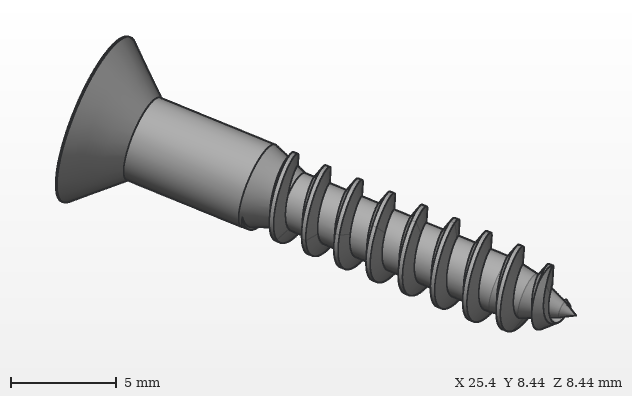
import cadquery as cq
import math

length = 25.4
head_radius = 4.22
rim_thickness = 0.08
head_height = 2.55
shank_radius = 2.1
shank_end = 8.6
socket_width = 2.85
socket_depth = socket_width

core_radius = 1.4
core_start = 10.5
taper_start = 21.46
tip_start = 22.85
tip_radius = 1.15
point_start = 24.65
point_radius = 0.4

pitch = 1.7
crest_at_top = 9.95
crest_width = 0.23
root_width = 0.9
ridge_depth = 0.81
thread_start = 8.25
thread_end = 24.76
points_per_turn = 24

envelope_slope = 0.9
envelope_start = 7.62

crest_stations = [
    (thread_start, 1.93),
    (8.9, shank_radius),
    (taper_start, shank_radius),
    (23.57, 1.73),
    (thread_end, 1.27),
]


def split_into_turns(stations):
    """Add evenly spaced stations so that no stretch of thread exceeds one turn."""
    turns = [stations[0]]
    for (start_x, start_radius), (end_x, end_radius) in zip(stations, stations[1:]):
        count = math.ceil((end_x - start_x) / pitch)
        for i in range(1, count + 1):
            x = start_x + (end_x - start_x) * i / count
            radius = start_radius + (end_radius - start_radius) * i / count
            turns.append((x, radius))
    return turns


def ridge_edge(start, end, axial_offset, depth):
    """Helical edge between two crest stations, shifted along X and sunk below the crest."""
    (start_x, start_radius), (end_x, end_radius) = start, end
    steps = math.ceil((end_x - start_x) / pitch * points_per_turn)
    points = []
    for i in range(steps + 1):
        fraction = i / steps
        x = start_x + (end_x - start_x) * fraction
        radius = start_radius + (end_radius - start_radius) * fraction - depth
        angle = math.pi / 2 + 2 * math.pi * (x - crest_at_top) / pitch
        points.append(cq.Vector(x + axial_offset, radius * math.cos(angle), radius * math.sin(angle)))
    return cq.Edge.makeSpline(points)


def make_thread():
    """Solid ridge: ruled helical faces between the stations, closed by a flat cap at each end."""
    corners = [
        (-root_width / 2, ridge_depth),
        (-crest_width / 2, 0),
        (crest_width / 2, 0),
        (root_width / 2, ridge_depth),
    ]
    faces = []
    caps = []
    stations = split_into_turns(crest_stations)
    for start, end in zip(stations, stations[1:]):
        edges = [ridge_edge(start, end, offset, depth) for offset, depth in corners]
        for edge, following in zip(edges, edges[1:] + edges[:1]):
            faces.append(cq.Face.makeRuledSurface(edge, following))
        for position in (0, 1):
            outline = cq.Wire.makePolygon([edge.positionAt(position) for edge in edges], close=True)
            caps.append(cq.Face.makeFromWires(outline))
    return cq.Solid.makeSolid(cq.Shell.makeShell(faces + [caps[0], caps[-1]])).fix()


def make_body():
    """Head, shank and core turned about the X axis."""
    profile = [
        (0, 0),
        (0, head_radius),
        (rim_thickness, head_radius),
        (head_height, shank_radius),
        (shank_end, shank_radius),
        (core_start, core_radius),
        (taper_start, core_radius),
        (tip_start, tip_radius),
        (point_start, point_radius),
        (length, 0),
    ]
    return cq.Workplane("XY").polyline(profile).close().revolve(360, (0, 0, 0), (1, 0, 0))


def make_envelope():
    """Cone with its apex at the tip of the screw, wider than the thread over most of its length."""
    envelope_length = length - envelope_start
    return cq.Solid.makeCone(
        envelope_slope * envelope_length,
        0,
        envelope_length,
        cq.Vector(envelope_start, 0, 0),
        cq.Vector(1, 0, 0),
    )


thread = cq.Workplane(make_thread()).intersect(cq.Workplane(make_envelope()))
socket = cq.Workplane("YZ").rect(socket_width, socket_width).extrude(socket_depth)
result = make_body().union(thread).cut(socket)